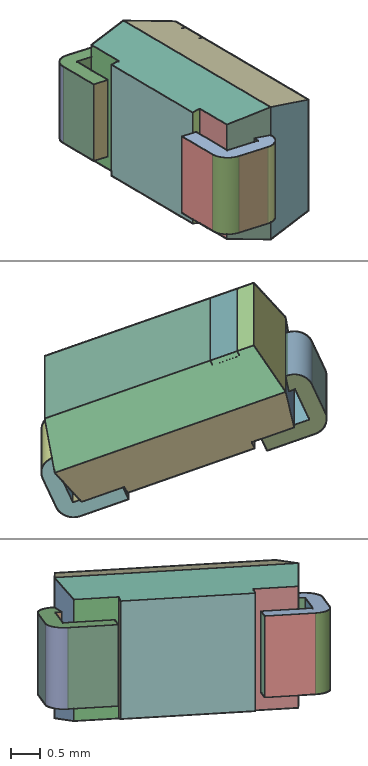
import cadquery as cq
import math


overall_length = 4.95
lead_thickness = 0.3
lead_width = 1.445
lead_bend_radius = 0.32
foot_gap = 2.545

parting_length = 4.245
parting_width = 2.5
half_depth = 0.948
draft_angle = 12.0
draft_slope = math.tan(math.radians(draft_angle))
foot_relief_depth = 0.15
base_length = 2.34

band_width = 0.495
band_center_x = -1.37
band_depth = 0.1

face_inset = half_depth * draft_slope
face_length = parting_length - 2 * face_inset
face_width = parting_width - 2 * face_inset
foot_outer_y = -half_depth - lead_thickness


def drafted_half(direction):
    """Half of the housing, tapering away from the parting plane."""
    return (
        cq.Workplane("XZ")
        .rect(parting_length, parting_width)
        .workplane(offset=-direction * half_depth)
        .rect(face_length, face_width)
        .loft(ruled=True)
    )


def make_foot_relief(side):
    """Space removed from one end of the mounting face, above a foot."""
    relief_length = (overall_length - base_length) / 2
    relief_center_x = side * (overall_length + base_length) / 4
    return cq.Workplane("XY").box(relief_length, foot_relief_depth, parting_width).translate(
        (relief_center_x, -half_depth + foot_relief_depth / 2, 0)
    )


def make_polarity_band():
    """Straight-sided band across the full width of the +Y face, flush with it."""
    return cq.Workplane("XY").box(band_width, band_depth, face_width).translate(
        (band_center_x, half_depth - band_depth / 2, 0)
    )


def make_lead(side):
    """C-shaped lead, from the drafted end face round to the foot."""
    outer_x = side * overall_length / 2
    inner_x = side * (overall_length / 2 - lead_thickness)
    root_x = side * parting_length / 2
    root_inner_x = side * (parting_length / 2 - lead_thickness * draft_slope)
    foot_end_x = side * foot_gap / 2
    bend_x = outer_x - side * lead_bend_radius
    arc_reach = lead_bend_radius * math.sqrt(0.5)
    arc_x = bend_x + side * arc_reach
    lower_bend_y = foot_outer_y + lead_bend_radius
    return (
        cq.Workplane("XY")
        .moveTo(root_x, 0)
        .lineTo(bend_x, 0)
        .threePointArc((arc_x, -lead_bend_radius + arc_reach), (outer_x, -lead_bend_radius))
        .lineTo(outer_x, lower_bend_y)
        .threePointArc((arc_x, lower_bend_y - arc_reach), (bend_x, foot_outer_y))
        .lineTo(foot_end_x, foot_outer_y)
        .lineTo(foot_end_x, -half_depth)
        .lineTo(inner_x, -half_depth)
        .lineTo(inner_x, -lead_thickness)
        .lineTo(root_inner_x, -lead_thickness)
        .close()
        .extrude(lead_width / 2, both=True)
    )


polarity_band = make_polarity_band()
housing = drafted_half(1).union(drafted_half(-1)).cut(polarity_band)
for side in (-1, 1):
    housing = housing.cut(make_foot_relief(side))

leads = [make_lead(side).val() for side in (-1, 1)]

result = cq.Compound.makeCompound([housing.val(), polarity_band.val(), *leads])